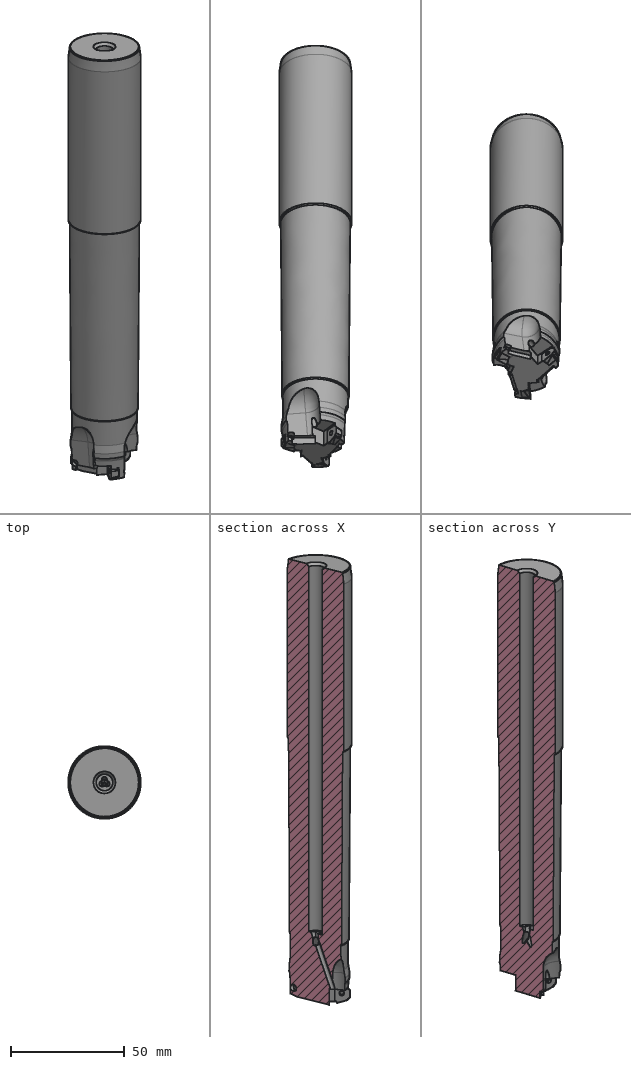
import cadquery as cq
import math


TOOTH_COUNT = 3
TOOTH_STEP = 360 / TOOTH_COUNT

LENGTH = 202.5
SHANK_RADIUS = 16.0
SHANK_BOTTOM = 119.8
END_TAPER_LENGTH = 5.0
END_TAPER_DEPTH = 0.6
END_CHAMFER = 0.5
NECK_TOP_RADIUS = 15.4
NECK_BOTTOM_RADIUS = 14.8
HEAD_TOP = 30.0
HEAD_RADIUS = 14.4
SHOULDER_HEIGHT = 0.6
BAND_RADIUS = 15.0
FLARE_TOP = 18.0
BAND_TOP = 14.4
BAND_BOTTOM = 12.0
RELIEF_TOP = 10.7
RELIEF_RADIUS = 14.5
NOSE_RADIUS = 14.2
NOSE_CHAMFER_TOP = 1.5
NOSE_FACE_RADIUS = 10.1
HEAD_BOTTOM = 0.6

BORE_RADIUS = 3.6
BORE_MOUTH_RADIUS = 4.9
BORE_BOTTOM = 32.4
BRANCH_RADIUS = 1.2
BRANCH_START = (0, 2.0, 34.5)
BRANCH_EXIT = (-0.2, -8.0, 12.0)
BRANCH_OVERRUN = 1.3

FLOOR_DISTANCE = 8.0
FLOOR_EDGE_X = -4.3
WALL_RADIUS = 6.3
RUNOUT_RADIUS = 10.1
RUNOUT_BOTTOM = 16.2
RUNOUT_AXIS_Y = -FLOOR_DISTANCE - RUNOUT_RADIUS
FLUTE_TILT = 4.0
STEP_TOP = 3.8
STEP_DEPTH = 1.6
STEP_START_X = -10.1

CUTTING_ANGLE = -52.0
INSERT_THICKNESS = 3.6
INSERT_CLEARANCE_ANGLE = 12.0
INSERT_INNER_R = 8.5
INSERT_OUTER_R = 15.2
INSERT_TOP = 7.3
LOWEST_POINT_R = 9.5
CORNER_R = 13.8
EDGE_RISE = 1.2
CORNER_TOP = 2.6
SIDE_TOP = 5.9
SCREW_R = 11.5
SCREW_Z = 4.5
SCREW_RADIUS = 1.5
SCREW_DEPTH = 10.1
SOCKET_RADIUS = 1.0
SOCKET_DEPTH = 1.6
GULLET_INNER_R = 6.0
GULLET_TOP = 8.0
GULLET_LENGTH = 12.1

CLEAR = 20.2


def around_axis(shape):
    """Copies of a shape, one for each tooth."""
    return [shape.rotate((0, 0, 0), (0, 0, 1), i * TOOTH_STEP) for i in range(TOOTH_COUNT)]


def make_blank():
    end_radius = SHANK_RADIUS - END_TAPER_DEPTH
    profile = [
        (0, HEAD_BOTTOM),
        (NOSE_FACE_RADIUS, HEAD_BOTTOM),
        (NOSE_RADIUS, NOSE_CHAMFER_TOP),
        (RELIEF_RADIUS, RELIEF_TOP),
        (BAND_RADIUS, BAND_BOTTOM),
        (BAND_RADIUS, BAND_TOP),
        (HEAD_RADIUS, FLARE_TOP),
        (HEAD_RADIUS, HEAD_TOP - SHOULDER_HEIGHT),
        (NECK_BOTTOM_RADIUS, HEAD_TOP),
        (NECK_TOP_RADIUS, SHANK_BOTTOM - SHOULDER_HEIGHT),
        (SHANK_RADIUS, SHANK_BOTTOM),
        (SHANK_RADIUS, LENGTH - END_TAPER_LENGTH),
        (end_radius, LENGTH - END_CHAMFER),
        (end_radius - END_CHAMFER, LENGTH),
        (0, LENGTH),
    ]
    return cq.Workplane("XZ").polyline(profile).close().revolve(360, (0, 0), (0, 1))


def make_bore():
    mouth_depth = BORE_MOUTH_RADIUS - BORE_RADIUS
    profile = [
        (0, BORE_BOTTOM),
        (BORE_RADIUS, BORE_BOTTOM),
        (BORE_RADIUS, LENGTH - mouth_depth),
        (BORE_MOUTH_RADIUS, LENGTH),
        (0, LENGTH),
    ]
    return cq.Workplane("XZ").polyline(profile).close().revolve(360, (0, 0), (0, 1))


def make_branch():
    start = cq.Vector(*BRANCH_START)
    run = cq.Vector(*BRANCH_EXIT) - start
    return cq.Workplane(cq.Solid.makeCylinder(BRANCH_RADIUS, run.Length * BRANCH_OVERRUN, start, run))


def make_flute_section():
    floor_y = -FLOOR_DISTANCE
    wall_x = FLOOR_EDGE_X + WALL_RADIUS
    wall_y = floor_y - WALL_RADIUS
    arc_offset = WALL_RADIUS * math.sqrt(0.5)
    return (
        cq.Workplane("XY", origin=(0, 0, RUNOUT_BOTTOM))
        .moveTo(-CLEAR, RUNOUT_AXIS_Y)
        .lineTo(-CLEAR, floor_y)
        .lineTo(FLOOR_EDGE_X, floor_y)
        .threePointArc((FLOOR_EDGE_X + arc_offset, wall_y + arc_offset), (wall_x, wall_y))
        .lineTo(wall_x, RUNOUT_AXIS_Y)
        .close()
    )


def make_flute():
    straight = make_flute_section().extrude(-CLEAR)
    runout = make_flute_section().revolve(90, (0, RUNOUT_AXIS_Y), (1, RUNOUT_AXIS_Y))
    return straight.union(runout).rotate((0, 0, RUNOUT_BOTTOM), (0, 1, RUNOUT_BOTTOM), -FLUTE_TILT)


def make_floor_step():
    """Shallow step across the lower end of the flute floor."""
    step_y = STEP_DEPTH - FLOOR_DISTANCE
    return (
        cq.Workplane("XY", origin=(0, 0, STEP_TOP))
        .moveTo(STEP_START_X, step_y)
        .lineTo(0, step_y)
        .lineTo(0, -CLEAR)
        .lineTo(STEP_START_X, -CLEAR)
        .close()
        .extrude(-CLEAR)
    )


cutting_turn = math.radians(CUTTING_ANGLE)
cutting_plane = cq.Plane(
    origin=(0, 0, 0),
    xDir=(math.cos(cutting_turn), math.sin(cutting_turn), 0),
    normal=(math.sin(cutting_turn), -math.cos(cutting_turn), 0),
)


def make_insert_blank():
    outline = [
        (INSERT_INNER_R, INSERT_TOP),
        (INSERT_INNER_R, EDGE_RISE),
        (LOWEST_POINT_R, 0),
        (CORNER_R, EDGE_RISE),
        (INSERT_OUTER_R, CORNER_TOP),
        (INSERT_OUTER_R, SIDE_TOP),
        (CORNER_R, INSERT_TOP),
    ]
    face = cq.Workplane(cutting_plane).polyline(outline).close()
    return face.extrude(-INSERT_THICKNESS, taper=INSERT_CLEARANCE_ANGLE)


def make_screw_bore(radius, depth):
    return cq.Workplane(cutting_plane).center(SCREW_R, SCREW_Z).circle(radius).extrude(-depth)


def make_gullet():
    return (
        cq.Workplane(cutting_plane)
        .moveTo(GULLET_INNER_R, GULLET_TOP)
        .lineTo(CLEAR, GULLET_TOP)
        .lineTo(CLEAR, -CLEAR)
        .lineTo(GULLET_INNER_R, -CLEAR)
        .close()
        .extrude(GULLET_LENGTH)
    )


def make_holder():
    holder = make_blank().cut(make_bore())
    tooth_cuts = [
        make_flute(),
        make_floor_step(),
        make_gullet(),
        make_insert_blank(),
        make_screw_bore(SCREW_RADIUS, SCREW_DEPTH),
        make_branch(),
    ]
    for feature in tooth_cuts:
        for cutter in around_axis(feature):
            holder = holder.cut(cutter)
    return holder


holder = make_holder()
inserts = around_axis(make_insert_blank().cut(make_screw_bore(SOCKET_RADIUS, SOCKET_DEPTH)))

result = cq.Compound.makeCompound([holder.val(), *[insert.val() for insert in inserts]])